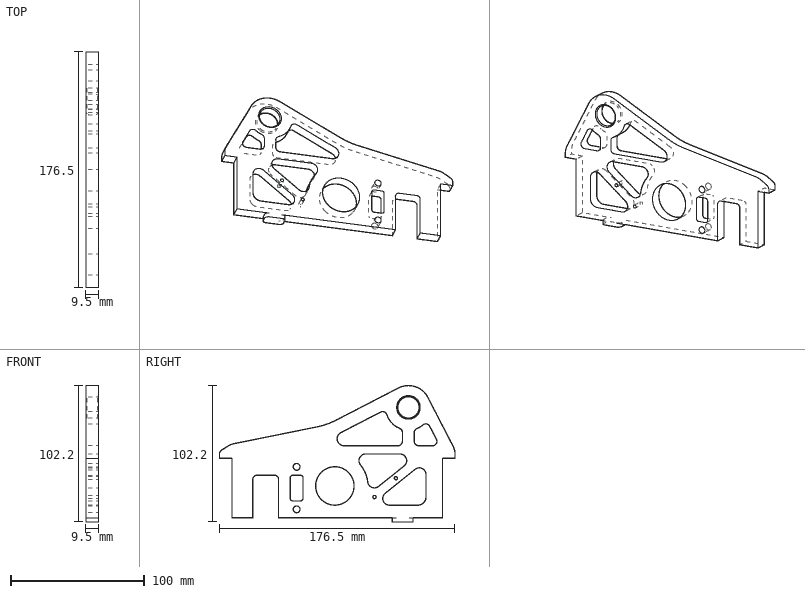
import cadquery as cq
import math

THICKNESS = 9.5
LENGTH = 176.5
HEIGHT = 99.0
SHOULDER_Z = 44.5
SHOULDER_STEP = 9.4
HALF_LENGTH = LENGTH / 2
FOOT_Y = HALF_LENGTH - SHOULDER_STEP

HEAD_RADIUS = 16.5
HEAD_Y = 53.3
HEAD_Z = HEIGHT - HEAD_RADIUS
HEAD_TILT = math.radians(27.3)
BORE_RADIUS = 8.0
BORE_CHAMFER = 0.9
HEEL_RADIUS = 12.7

BROW_Y = -7.6
BROW_RADIUS = 50.8
NOSE_Y, NOSE_Z = -79.6, 55.0
NOSE_RADIUS = 12.7
TIP_Z = 49.6
TIP_RADIUS = 3.9

NOTCH_Y = -53.5
NOTCH_WIDTH = 19.0
NOTCH_HEIGHT = 31.8
NOTCH_RADIUS = 2.8

PORT_Y, PORT_Z = -1.8, 23.8
PORT_RADIUS = 14.3

SLOT_Y, SLOT_Z = -30.4, 22.2
SLOT_WIDTH, SLOT_HEIGHT = 9.5, 19.0
SLOT_RADIUS = 2.0
SCREW_RADIUS = 2.5
SCREW_SPACING = 31.8

RING_RADIUS = 17.1
UPPER_SILL_Z = 54.0
UPPER_RADIUS = 3.2
HEAD_RIM = 8.8
SMALL_WINDOW_Y = 57.7
LARGE_WINDOW_Y = 48.7
LARGE_WINDOW_RIM = 10.0
LARGE_WINDOW_END_RADIUS = 5.1

LOWER_RADIUS = 5.0
LOWER_CORNER_RADIUS = 6.0
LOWER_SILL_Z = 9.5
LOWER_HEAD_Z = 47.7
LOWER_SIDE_Y = 66.4
BRACE_TILT = math.radians(38.7)
BRACE_Y, BRACE_Z = 47.7, 32.3
BRACE_WIDTH = 7.2
PORT_RING_RADIUS = 24.9
PIN_RADIUS = 1.15
PIN_CENTERS = [(44.0, 29.7), (27.9, 15.5)]

TAB_Y = 48.9
TAB_LENGTH = 15.7
TAB_DEPTH = 3.2
TAB_RADIUS = 2.8


def steep_edge_z(y, offset):
    """Height of the steep head edge at y, for a parallel at this distance from the head centre."""
    return HEAD_Z + (offset - (y - HEAD_Y) * math.cos(HEAD_TILT)) / math.sin(HEAD_TILT)


def shallow_edge_z(y, offset):
    """Height of the shallow head edge at y, for a parallel at this distance from the head centre."""
    return HEAD_Z + (offset + (y - HEAD_Y) * math.sin(HEAD_TILT)) / math.cos(HEAD_TILT)


def steep_edge_y(z, offset):
    """Y at which that steep parallel reaches height z."""
    return HEAD_Y + (offset - (z - HEAD_Z) * math.sin(HEAD_TILT)) / math.cos(HEAD_TILT)


def shallow_edge_y(z, offset):
    """Y at which that shallow parallel reaches height z."""
    return HEAD_Y - (offset - (z - HEAD_Z) * math.cos(HEAD_TILT)) / math.sin(HEAD_TILT)


def brace_z(y, side):
    """Height at y of the brace's upper (side = 1) or lower (side = -1) edge."""
    center_z = BRACE_Z + (y - BRACE_Y) * math.tan(BRACE_TILT)
    return center_z + side * BRACE_WIDTH / 2 / math.cos(BRACE_TILT)


def brace_y(z, side):
    """Y at which the brace's upper or lower edge reaches height z."""
    return BRACE_Y + (z - brace_z(BRACE_Y, side)) / math.tan(BRACE_TILT)


def prism(points):
    """Polygon of (y, z) points through the whole plate thickness."""
    return cq.Workplane("YZ").polyline(points).close().extrude(THICKNESS / 2, both=True)


def cylinder(y, z, radius):
    return cq.Workplane("YZ").center(y, z).circle(radius).extrude(THICKNESS / 2, both=True)


def round_corner(body, y, z, radius):
    """Fillet the through-thickness edge at (y, z)."""
    return body.edges(cq.selectors.NearestToPointSelector((0, y, z))).fillet(radius)


def make_plate():
    head_y = HEAD_Y + HEAD_RADIUS * (math.cos(HEAD_TILT) - math.sin(HEAD_TILT))
    head = (head_y, steep_edge_z(head_y, HEAD_RADIUS))
    heel = (HALF_LENGTH, steep_edge_z(HALF_LENGTH, HEAD_RADIUS))
    brow = (BROW_Y, shallow_edge_z(BROW_Y, HEAD_RADIUS))
    nose = (NOSE_Y, NOSE_Z)
    tip = (-HALF_LENGTH, TIP_Z)
    plate = prism([
        (FOOT_Y, 0), (FOOT_Y, SHOULDER_Z), (HALF_LENGTH, SHOULDER_Z), heel, head, brow, nose, tip,
        (-HALF_LENGTH, SHOULDER_Z), (-FOOT_Y, SHOULDER_Z), (-FOOT_Y, 0),
    ])
    rounded = [
        (heel, HEEL_RADIUS), (head, HEAD_RADIUS), (brow, BROW_RADIUS), (nose, NOSE_RADIUS), (tip, TIP_RADIUS),
    ]
    for (y, z), radius in rounded:
        plate = round_corner(plate, y, z, radius)
    return plate


def make_tab():
    tab = cq.Workplane("XY").center(0, TAB_Y).rect(THICKNESS, TAB_LENGTH).extrude(-TAB_DEPTH)
    return tab.edges("|Z").fillet(TAB_RADIUS)


def make_bore():
    """Bore through the head, chamfered at both faces."""
    bore = cylinder(HEAD_Y, HEAD_Z, BORE_RADIUS)
    for side in (-1, 1):
        chamfer = (
            cq.Workplane("YZ", origin=(side * THICKNESS / 2, HEAD_Y, HEAD_Z))
            .circle(BORE_RADIUS + BORE_CHAMFER)
            .workplane(offset=-side * BORE_CHAMFER)
            .circle(BORE_RADIUS)
            .loft()
        )
        bore = bore.union(chamfer)
    return bore


def make_notch():
    notch = cq.Workplane("XY").center(0, NOTCH_Y).rect(THICKNESS, NOTCH_WIDTH).extrude(NOTCH_HEIGHT)
    return notch.edges("|X and >Z").fillet(NOTCH_RADIUS)


def make_slot():
    slot = cq.Workplane("XY").box(THICKNESS, SLOT_WIDTH, SLOT_HEIGHT).edges("|X").fillet(SLOT_RADIUS)
    return slot.translate((0, SLOT_Y, SLOT_Z))


def make_small_window():
    offset = HEAD_RADIUS - HEAD_RIM
    window = prism([
        (steep_edge_y(UPPER_SILL_Z, offset), UPPER_SILL_Z),
        (SMALL_WINDOW_Y, UPPER_SILL_Z),
        (SMALL_WINDOW_Y, steep_edge_z(SMALL_WINDOW_Y, offset)),
    ])
    return window.cut(cylinder(HEAD_Y, HEAD_Z, RING_RADIUS)).edges("|X").fillet(UPPER_RADIUS)


def make_large_window():
    offset = HEAD_RADIUS - LARGE_WINDOW_RIM
    window = prism([
        (LARGE_WINDOW_Y, UPPER_SILL_Z),
        (LARGE_WINDOW_Y, shallow_edge_z(LARGE_WINDOW_Y, offset)),
        (shallow_edge_y(UPPER_SILL_Z, offset), UPPER_SILL_Z),
    ])
    window = window.cut(cylinder(HEAD_Y, HEAD_Z, RING_RADIUS))
    window = window.edges("|X and (not <Y)").fillet(UPPER_RADIUS)
    return window.edges("|X and <Y").fillet(LARGE_WINDOW_END_RADIUS)


def make_lower_window():
    top = (LOWER_SIDE_Y, brace_z(LOWER_SIDE_Y, -1))
    end = (brace_y(LOWER_SILL_Z, -1), LOWER_SILL_Z)
    window = prism([(LOWER_SIDE_Y, LOWER_SILL_Z), top, end])
    window = round_corner(window, LOWER_SIDE_Y, LOWER_SILL_Z, LOWER_CORNER_RADIUS)
    for y, z in (top, end):
        window = round_corner(window, y, z, LOWER_RADIUS)
    return window


def make_middle_window():
    """Triangle whose slanting side away from the brace lies inside the ring that is then removed."""
    window = prism([
        (brace_y(LOWER_HEAD_Z, 1), LOWER_HEAD_Z),
        (PORT_Y, LOWER_HEAD_Z),
        (brace_y(0, 1), 0),
    ])
    return window.cut(cylinder(PORT_Y, PORT_Z, PORT_RING_RADIUS)).edges("|X").fillet(LOWER_RADIUS)


result = make_plate().union(make_tab())

windows = [make_small_window(), make_large_window(), make_lower_window(), make_middle_window()]
for opening in [make_bore(), make_notch(), make_slot()] + windows:
    result = result.cut(opening)

holes = [(PORT_Y, PORT_Z, PORT_RADIUS)]
for side in (-1, 1):
    holes.append((SLOT_Y, SLOT_Z + side * SCREW_SPACING / 2, SCREW_RADIUS))
for y, z in PIN_CENTERS:
    holes.append((y, z, PIN_RADIUS))
for y, z, radius in holes:
    result = result.cut(cylinder(y, z, radius))